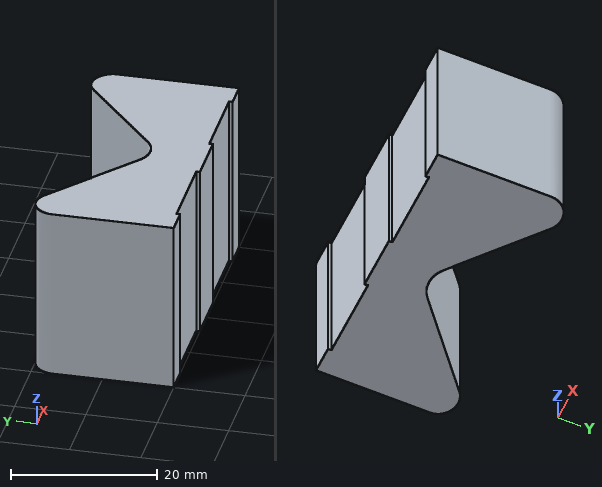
import cadquery as cq
import math

LENGTH = 40.0
DEPTH = 20.0
HEIGHT = 25.0

FLANK_ANGLE = math.radians(40.0)
LOBE_RADIUS = 3.0
VALLEY_RADIUS = 4.0

END_FOOT_WIDTH = 4.0
CENTRE_FOOT_WIDTH = 8.0
RELIEF_DEPTH = 0.5

half_length = LENGTH / 2
lobe_x = half_length - LOBE_RADIUS
lobe_y = DEPTH - LOBE_RADIUS

normal_x = -math.sin(FLANK_ANGLE)
normal_y = math.cos(FLANK_ANGLE)

flank_top_x = lobe_x + LOBE_RADIUS * normal_x
flank_top_y = lobe_y + LOBE_RADIUS * normal_y

flank_bottom_x = VALLEY_RADIUS * math.sin(FLANK_ANGLE)
flank_bottom_y = flank_top_y - (flank_top_x - flank_bottom_x) * math.tan(FLANK_ANGLE)
valley_bottom_y = flank_bottom_y - VALLEY_RADIUS * (1 - math.cos(FLANK_ANGLE))


def make_body():
    """Extruded block with the rounded V notch on its +Y side."""
    return (
        cq.Workplane("XY")
        .moveTo(-half_length, 0)
        .lineTo(half_length, 0)
        .lineTo(half_length, lobe_y)
        .threePointArc((lobe_x, DEPTH), (flank_top_x, flank_top_y))
        .lineTo(flank_bottom_x, flank_bottom_y)
        .threePointArc((0, valley_bottom_y), (-flank_bottom_x, flank_bottom_y))
        .lineTo(-flank_top_x, flank_top_y)
        .threePointArc((-lobe_x, DEPTH), (-half_length, lobe_y))
        .close()
        .extrude(HEIGHT)
    )


def make_relief(side):
    """Full-height shallow channel on the -Y face; side is -1 or 1."""
    inner_x = CENTRE_FOOT_WIDTH / 2
    outer_x = half_length - END_FOOT_WIDTH
    centre_x = side * (inner_x + outer_x) / 2
    return (
        cq.Workplane("XY")
        .center(centre_x, 0)
        .rect(outer_x - inner_x, 2 * RELIEF_DEPTH)
        .extrude(HEIGHT)
    )


result = make_body()
for side in (-1, 1):
    result = result.cut(make_relief(side))